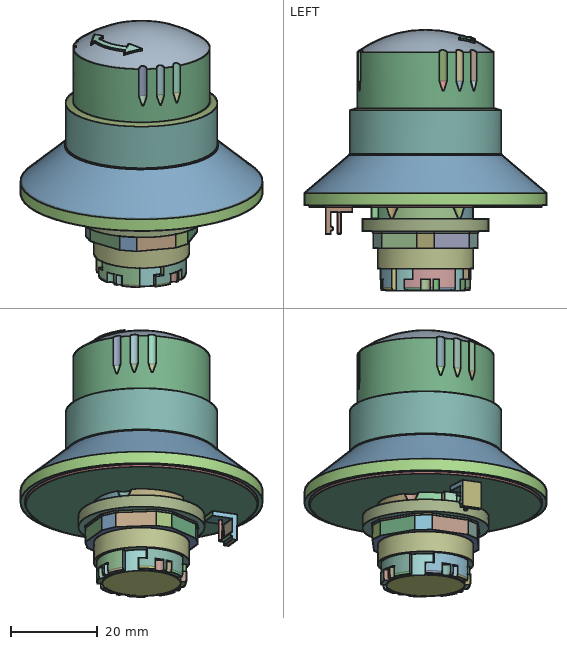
import cadquery as cq
import math

total_height = 60.1
core_z = 0.0
socket_z = 0.2
socket_bevel_z = 0.8
slot_ledge_z = 2.7
barrel_z = 5.1
nut_z = 9.8
nut_lip_z = 13.3
washer_z = 13.7
washer_top_z = 16.5
base_plate_z = 19.25
flange_z = 19.7
flange_top_z = 22.5
skirt_top_z = 31.2
collar_z = 31.5
collar_shoulder_z = 41.5
collar_top_z = 42.0
cap_edge_z = 54.9
dome_rim_z = 55.05

core_radius = 18.0 / 2
socket_radius = 20.75 / 2
socket_bevel = 0.2
barrel_radius = 22.0 / 2
washer_radius = 29.0 / 2
base_plate_radius = 26.9
base_plate_bevel = 0.3
flange_radius = 55.8 / 2
flange_bevel = 0.25
collar_radius = 35.0 / 2
collar_foot_radius = 17.65
collar_bore_radius = 16.0
cap_radius = 31.5 / 2
dome_rim_radius = 15.55

dome_height = total_height - dome_rim_z
dome_radius = (dome_rim_radius ** 2 + dome_height ** 2) / (2 * dome_height)
dome_center_z = total_height - dome_radius

groove_radius = 0.95
groove_axis_radius = 16.0
groove_floor_z = 48.3
groove_tip_length = 3.1
groove_group_angles = (90, 210, 330)
groove_pitch_angle = 15

arrow_relief = 0.39
arrow_shaft_inner = 10.4
arrow_shaft_outer = 11.5
arrow_head_inner = 9.4
arrow_head_outer = 12.5
arrow_tip_radius = 10.9
arrow_neck_angle = 25
arrow_tip_angle = 45

nut_flat_distance = 12.1
nut_corner_distance = 12.8
nut_lip_flare = 0.2

flute_axis_radius = 11.7
flute_tip_radius = 0.7
flute_top_radius = 1.9

key_width = 3.0
key_reach = 12.45
key_z = 16.65

quarter_turns = (0, 90, 180, 270)
slot_start_angle = -48.5
slot_entry_end_angle = -28.0
slot_end_angle = -16.7
notch_angles = (0, 13.9)
notch_radii = (1.1, 0.7)

latch_width = 4.8
latch_outer_y = 22.95
latch_inner_y = 21.75
latch_plate_end_y = 16.8
latch_plate_z = 18.1
latch_tip_z = 13.05
latch_bump_radius = 1.0 / 2
latch_bump_z = 14.3
pin_y = 19.85
pin_radius = 0.4
pin_tip_chamfer = 0.2


def polar(radius, angle):
    """Point at an angle in degrees, counted from -Y toward +X."""
    return radius * math.sin(math.radians(angle)), -radius * math.cos(math.radians(angle))


def turned_body():
    half_rim = math.asin(dome_rim_radius / dome_radius) / 2
    dome_middle = (
        dome_radius * math.sin(half_rim),
        dome_center_z + dome_radius * math.cos(half_rim),
    )
    outline = (
        cq.Workplane("XZ")
        .moveTo(0, barrel_z)
        .lineTo(barrel_radius, barrel_z)
        .lineTo(barrel_radius, washer_z)
        .lineTo(washer_radius, washer_z)
        .lineTo(washer_radius, washer_top_z)
        .lineTo(barrel_radius, washer_top_z)
        .lineTo(barrel_radius, base_plate_z)
        .lineTo(base_plate_radius - base_plate_bevel, base_plate_z)
        .lineTo(base_plate_radius, flange_z)
        .lineTo(flange_radius, flange_z)
        .lineTo(flange_radius, flange_top_z)
        .lineTo(flange_radius - flange_bevel, flange_top_z + flange_bevel)
        .lineTo(collar_foot_radius, skirt_top_z)
        .lineTo(collar_radius, collar_z)
        .lineTo(collar_radius, collar_shoulder_z)
        .lineTo(collar_bore_radius, collar_top_z)
        .lineTo(cap_radius, collar_top_z)
        .lineTo(cap_radius, cap_edge_z)
        .lineTo(dome_rim_radius, dome_rim_z)
        .threePointArc(dome_middle, (0, total_height))
        .close()
    )
    return outline.revolve(360, (0, 0, 0), (0, 1, 0))


def tapered_post(bottom_radius, top_radius, bottom_z, top_z):
    return cq.Workplane(cq.Solid.makeCone(bottom_radius, top_radius, top_z - bottom_z, pnt=(0, 0, bottom_z)))


def grip_groove():
    tip_z = groove_floor_z - groove_tip_length
    tip = tapered_post(0, groove_radius, tip_z, groove_floor_z)
    shaft = (
        cq.Workplane("XY", origin=(0, 0, groove_floor_z))
        .circle(groove_radius)
        .extrude(total_height - groove_floor_z)
    )
    return shaft.union(tip).translate((groove_axis_radius, 0, 0))


def arrow():
    neck, tip = arrow_neck_angle, arrow_tip_angle
    outline = (
        cq.Workplane("XY", origin=(0, 0, dome_rim_z))
        .moveTo(*polar(arrow_shaft_inner, -neck))
        .threePointArc(polar(arrow_shaft_inner, 0), polar(arrow_shaft_inner, neck))
        .lineTo(*polar(arrow_head_inner, neck))
        .lineTo(*polar(arrow_tip_radius, tip))
        .lineTo(*polar(arrow_head_outer, neck))
        .lineTo(*polar(arrow_shaft_outer, neck))
        .threePointArc(polar(arrow_shaft_outer, 0), polar(arrow_shaft_outer, -neck))
        .lineTo(*polar(arrow_head_outer, -neck))
        .lineTo(*polar(arrow_tip_radius, -tip))
        .lineTo(*polar(arrow_head_inner, -neck))
        .close()
    )
    raised_dome = cq.Workplane("XY", origin=(0, 0, dome_center_z)).sphere(dome_radius + arrow_relief)
    return outline.extrude(dome_height).intersect(raised_dome)


def hexagon(flat_distance, first_corner_angle):
    corner_radius = flat_distance / math.cos(math.radians(30))
    corners = [polar(corner_radius, first_corner_angle + 60 * i) for i in range(6)]
    return cq.Workplane("XY").polyline(corners).close()


def nut():
    body_height = nut_lip_z - nut_z
    lip_height = washer_z - nut_lip_z
    lip_taper = -math.degrees(math.atan(nut_lip_flare / lip_height))

    def prism(height, taper):
        flats = hexagon(nut_flat_distance, 30).extrude(height, taper=taper)
        corner_cuts = hexagon(nut_corner_distance, 0).extrude(height, taper=taper)
        return flats.intersect(corner_cuts)

    lip = prism(lip_height, lip_taper).translate((0, 0, nut_lip_z))
    return prism(body_height, 0).translate((0, 0, nut_z)).union(lip)


def barrel_key():
    return (
        cq.Workplane("XY", origin=(0, key_reach / 2, key_z))
        .rect(key_width, key_reach)
        .extrude(base_plate_z - key_z)
    )


def slot_sector(end_angle, bottom_z):
    """Wedge between the slot start and an angle, reaching inside the core and outside the socket."""
    inner_radius = core_radius / 2
    outer_radius = barrel_radius * 1.5
    return (
        cq.Workplane("XY", origin=(0, 0, bottom_z))
        .polyline([
            polar(inner_radius, slot_start_angle),
            polar(outer_radius, slot_start_angle),
            polar(outer_radius, end_angle),
            polar(inner_radius, end_angle),
        ])
        .close()
        .extrude(barrel_z - bottom_z)
    )


def socket():
    """Ring with bayonet slots and grip notches, around a plain round core."""
    ring = (
        cq.Workplane("XZ")
        .moveTo(0, socket_z)
        .lineTo(socket_radius - socket_bevel, socket_z)
        .lineTo(socket_radius, socket_bevel_z)
        .lineTo(socket_radius, barrel_z)
        .lineTo(0, barrel_z)
        .close()
        .revolve(360, (0, 0, 0), (0, 1, 0))
    )
    slot = slot_sector(slot_entry_end_angle, core_z).union(slot_sector(slot_end_angle, slot_ledge_z))
    for turn in quarter_turns:
        ring = ring.cut(rotated(slot, turn))
        for angle, radius in zip(notch_angles, notch_radii):
            notch = (
                cq.Workplane("XY")
                .center(*polar(socket_radius, angle + turn))
                .circle(radius)
                .extrude(slot_ledge_z)
            )
            ring = ring.cut(notch)
    core = cq.Workplane("XY").circle(core_radius).extrude(nut_z)
    return ring.union(core)


def latch():
    profile = (
        cq.Workplane("YZ", origin=(-latch_width / 2, 0, 0))
        .moveTo(latch_outer_y, base_plate_z)
        .lineTo(latch_outer_y, latch_tip_z)
        .lineTo(latch_inner_y, latch_tip_z)
        .lineTo(latch_inner_y, latch_bump_z - latch_bump_radius)
        .threePointArc(
            (latch_inner_y - latch_bump_radius, latch_bump_z),
            (latch_inner_y, latch_bump_z + latch_bump_radius),
        )
        .lineTo(latch_inner_y, latch_plate_z)
        .lineTo(latch_plate_end_y, latch_plate_z)
        .lineTo(latch_plate_end_y, base_plate_z)
        .close()
        .extrude(latch_width)
    )
    pin = (
        cq.Workplane("XY", origin=(0, pin_y, latch_tip_z))
        .circle(pin_radius)
        .extrude(base_plate_z - latch_tip_z)
        .faces("<Z")
        .chamfer(pin_tip_chamfer)
    )
    return profile.union(pin)


def rotated(shape, angle):
    return shape.rotate((0, 0, 0), (0, 0, 1), angle)


result = turned_body()

for group_angle in groove_group_angles:
    for step in (-1, 0, 1):
        result = result.cut(rotated(grip_groove(), group_angle + step * groove_pitch_angle))

flute = tapered_post(flute_tip_radius, flute_top_radius, washer_top_z, base_plate_z)
flute = flute.translate((flute_axis_radius, 0, 0))
for turn in quarter_turns:
    result = result.cut(rotated(flute, turn + 45))

result = result.union(socket()).union(arrow()).union(nut()).union(barrel_key()).union(latch())